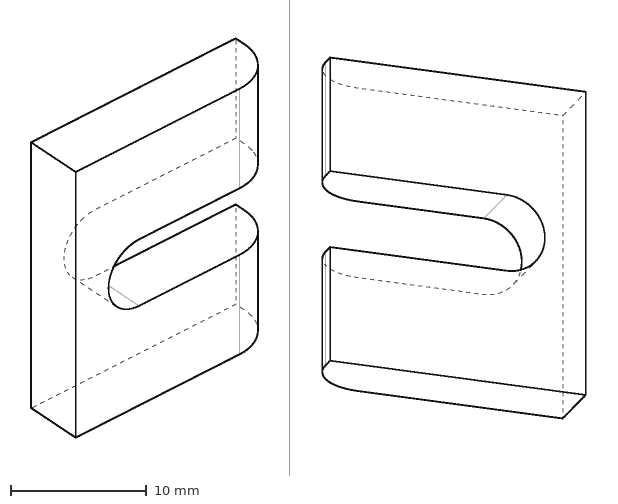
import cadquery as cq

thickness = 5.0
length = 20.0
height = 24.0

slot_width = 6.0
slot_end_wall = 3.2

nose_radius = 4.0


def make_plate():
    """Plate with its -X, -Y, -Z corner at the origin and one rounded edge."""
    plate = cq.Workplane("XY").box(thickness, length, height, centered=False)
    return plate.edges("|Z and >X and >Y").fillet(nose_radius)


def make_slot():
    """Round-bottomed slot, centred on the height and open at the +Y end."""
    slot_radius = slot_width / 2
    arc_center_y = slot_end_wall + slot_radius
    middle_z = height / 2
    lower_z = middle_z - slot_radius
    upper_z = middle_z + slot_radius
    return (
        cq.Workplane("YZ")
        .moveTo(length, lower_z)
        .lineTo(arc_center_y, lower_z)
        .threePointArc((slot_end_wall, middle_z), (arc_center_y, upper_z))
        .lineTo(length, upper_z)
        .close()
        .extrude(thickness)
    )


result = make_plate().cut(make_slot())